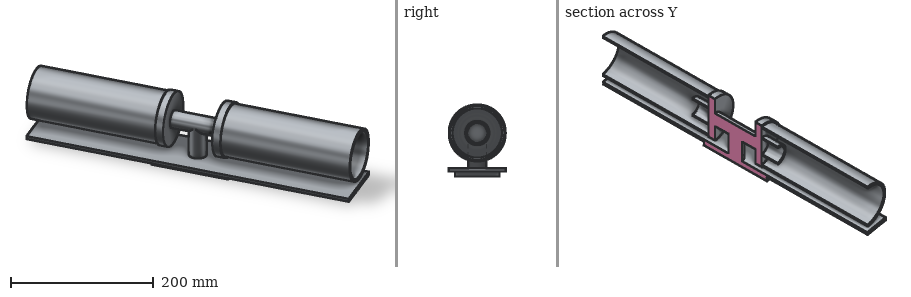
import cadquery as cq

overall_length = 485.0
overall_height = 101.5

plate_length = 484.0
plate_width = 80.0
plate_thickness = 5.0
block_length = 115.5
block_width = 63.0
block_thickness = 7.5

collar_diameter = plate_width
collar_thickness = 12.0
collar_gap = 73.7
shade_outer_diameter = 76.0
shade_inner_diameter = 69.5
socket_outer_diameter = 34.0
socket_inner_diameter = 28.5
socket_length = 29.0

pipe_diameter = 25.5

plate_top = block_thickness + plate_thickness
axis_height = overall_height - collar_diameter / 2
collar_inner_face = collar_gap / 2
collar_outer_face = collar_inner_face + collar_thickness
shade_length = overall_length / 2 - collar_outer_face


def rod_along_x(start, length, diameter):
    """Solid rod on the lamp axis, running from start towards +X."""
    return cq.Workplane("YZ", origin=(start, 0, axis_height)).circle(diameter / 2).extrude(length)


def tube_along_x(start, length, outer_diameter, inner_diameter):
    """Open tube on the lamp axis."""
    outside = rod_along_x(start, length, outer_diameter)
    return outside.cut(rod_along_x(start, length, inner_diameter))


def make_lamp():
    """Lamp on the +X side: collar disc, open shade and hollow socket."""
    collar = rod_along_x(collar_inner_face, collar_thickness, collar_diameter)
    shade = tube_along_x(collar_outer_face, shade_length, shade_outer_diameter, shade_inner_diameter)
    socket = tube_along_x(collar_outer_face, socket_length, socket_outer_diameter, socket_inner_diameter)
    return collar.union(shade).union(socket)


def make_base():
    """Mounting block with the long backplate on top of it."""
    block = cq.Workplane("XY").rect(block_length, block_width).extrude(block_thickness)
    plate = (
        cq.Workplane("XY", origin=(0, 0, block_thickness))
        .rect(plate_length, plate_width)
        .extrude(plate_thickness)
    )
    return block.union(plate)


def make_tee():
    """Crossbar and upright post of equal diameter, meeting at 45-degree mitres under the axis."""
    crossbar = rod_along_x(-collar_inner_face, collar_gap, pipe_diameter)
    post = (
        cq.Workplane("XY", origin=(0, 0, plate_top))
        .circle(pipe_diameter / 2)
        .extrude(axis_height - plate_top)
    )
    mitre_size = pipe_diameter
    mitre_bottom = axis_height - mitre_size
    mitre_wedge = (
        cq.Workplane("XZ")
        .polyline([(-mitre_size, mitre_bottom), (0, axis_height), (mitre_size, mitre_bottom)])
        .close()
        .extrude(mitre_size, both=True)
    )
    post_tip = post.intersect(mitre_wedge)
    post_shaft = (
        cq.Workplane("XY", origin=(0, 0, plate_top))
        .circle(pipe_diameter / 2)
        .extrude(mitre_bottom - plate_top)
    )
    return crossbar.cut(mitre_wedge).union(post_shaft.union(post_tip))


lamp = make_lamp()
result = make_base().union(make_tee()).union(lamp).union(lamp.mirror("YZ"))